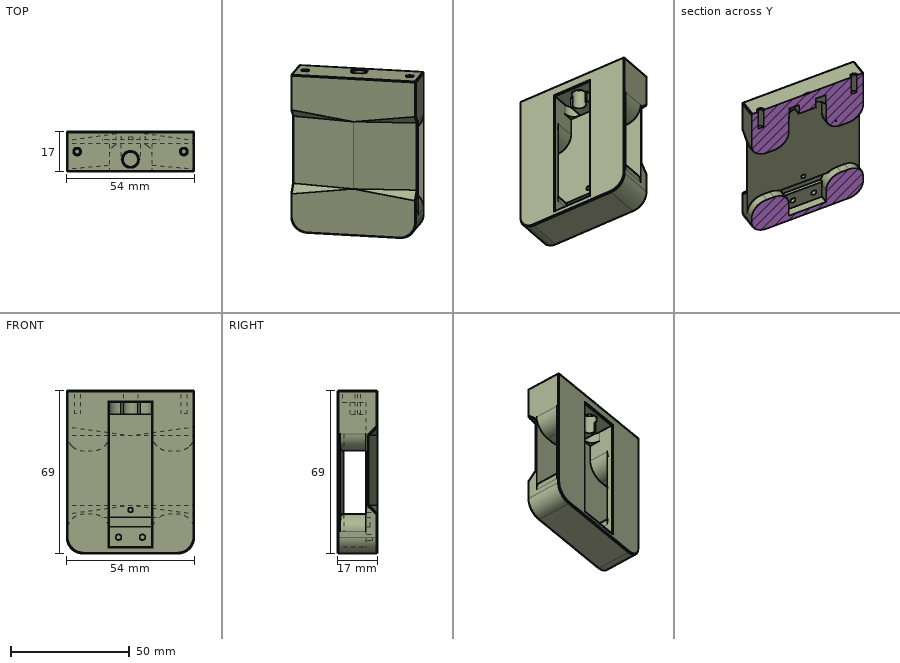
import cadquery as cq

WIDTH = 54.0
THICKNESS = 17.0
HEIGHT = 69.0
CORNER_RADIUS = 7.05
EDGE_CHAMFER = 0.5

SLOT_WIDTH = 17.9
SLOT_BOTTOM = 3.0
SLOT_TOP = 63.95
CAVITY_DEPTH = 12.1

BOSS_WIDTH = 8.3
BOSS_BOTTOM = 59.0

WINDOW_BOTTOM = 9.6
WINDOW_TOP = 50.7
FLARE_RADIUS = 7.25
WINDOW_FRONT_OUTER = 1.2
WINDOW_FRONT_INNER = 2.75

GROOVE_BOTTOM = 11.45
GROOVE_TOP = 15.45
GROOVE_DEPTH = 1.5

GRIP_DEPTH = 3.7
GRIP_BOTTOM = 20.55
GRIP_TOP = 49.95

BORE_DIAMETER = 6.3
BORE_Y = 5.2
TOP_HOLE_DIAMETER = 2.4
TOP_HOLE_DEPTH = 9.65
TOP_HOLE_INSET = 4.5
FLOOR_HOLE_DIAMETER = 2.0
FLOOR_HOLE_Z = 18.5
FOOT_HOLE_DIAMETER = 2.4
FOOT_HOLE_Z = 7.0
FOOT_HOLE_X = 5.05
FLOOR_HOLE_DEPTH = 2.75

HALF_WIDTH = WIDTH / 2
HALF_SLOT = SLOT_WIDTH / 2
HALF_BOSS = BOSS_WIDTH / 2
WALL_MIDDLE = (HALF_WIDTH + HALF_SLOT) / 2


def box_between(x_range, y_range, z_range):
    """Box spanning the given (low, high) ranges."""
    lows, highs = zip(x_range, y_range, z_range)
    sizes = [high - low for low, high in zip(lows, highs)]
    return cq.Workplane("XY").box(*sizes, centered=False).translate(lows)


def grip_cutter(side):
    """Back wedge, deepest at the side face and fading out at the centre line."""
    outer_x = side * HALF_WIDTH
    floor_y = THICKNESS - GRIP_DEPTH
    floor_low = cq.Vector(outer_x, floor_y, GRIP_BOTTOM)
    floor_high = cq.Vector(outer_x, floor_y, GRIP_TOP)
    rim_low = cq.Vector(outer_x, THICKNESS, GRIP_BOTTOM - GRIP_DEPTH)
    rim_high = cq.Vector(outer_x, THICKNESS, GRIP_TOP + GRIP_DEPTH)
    ridge_low = cq.Vector(0, THICKNESS, GRIP_BOTTOM)
    ridge_high = cq.Vector(0, THICKNESS, GRIP_TOP)
    outlines = [
        [floor_low, floor_high, rim_high, rim_low],
        [floor_low, floor_high, ridge_high, ridge_low],
        [rim_low, rim_high, ridge_high, ridge_low],
        [floor_low, rim_low, ridge_low],
        [floor_high, rim_high, ridge_high],
    ]
    faces = [cq.Face.makeFromWires(cq.Wire.makePolygon(points, close=True)) for points in outlines]
    solid = cq.Solid.makeSolid(cq.Shell.makeShell(faces))
    return cq.Workplane(obj=solid.fix())


def make_body():
    """Round-bottomed block with grips, bevelled along its outer rims and the grip rims."""
    body = box_between((-HALF_WIDTH, HALF_WIDTH), (0, THICKNESS), (0, HEIGHT))
    body = body.edges("|Y and <Z").fillet(CORNER_RADIUS)
    for side in (-1, 1):
        body = body.cut(grip_cutter(side))
    outer_faces = body.faces("<X or >X or <Y or <Z or >Z or %CYLINDER")
    return outer_faces.edges("(not |Y) or >Z").chamfer(EDGE_CHAMFER)


def side_window(side, depth):
    """Side window from the front face to the given depth, flared over both wall faces."""
    outer = side * HALF_WIDTH
    inner = side * HALF_SLOT
    outer_tangent = outer - side * FLARE_RADIUS
    inner_tangent = inner + side * FLARE_RADIUS
    low = WINDOW_BOTTOM + FLARE_RADIUS
    high = WINDOW_TOP - FLARE_RADIUS
    return (
        cq.Workplane("XZ")
        .moveTo(outer, WINDOW_TOP)
        .radiusArc((outer_tangent, high), side * FLARE_RADIUS)
        .lineTo(inner_tangent, high)
        .radiusArc((inner, WINDOW_TOP), side * FLARE_RADIUS)
        .lineTo(inner, WINDOW_BOTTOM)
        .radiusArc((inner_tangent, low), side * FLARE_RADIUS)
        .lineTo(outer_tangent, low)
        .radiusArc((outer, WINDOW_BOTTOM), side * FLARE_RADIUS)
        .close()
        .extrude(-depth)
    )


def front_wall(side):
    """Material in front of a side window, thickening from the side face to the slot."""
    outer = side * HALF_WIDTH
    inner = side * HALF_SLOT
    outline = [(outer, 0), (outer, WINDOW_FRONT_OUTER), (inner, WINDOW_FRONT_INNER), (inner, 0)]
    return cq.Workplane("XY").polyline(outline).close().extrude(HEIGHT)


def make_cavity():
    """Slot, top pocket beside the bore boss, side windows and cross groove as one cutting solid."""
    slot_x = (-HALF_SLOT, HALF_SLOT)
    cavity = box_between(slot_x, (0, CAVITY_DEPTH), (SLOT_BOTTOM, BOSS_BOTTOM))
    top_pocket = box_between(slot_x, (0, CAVITY_DEPTH), (BOSS_BOTTOM, SLOT_TOP))
    top_pocket = top_pocket.edges("|Z and >Y").fillet(HALF_SLOT - HALF_BOSS)
    boss = box_between((-HALF_BOSS, HALF_BOSS), (BORE_Y, CAVITY_DEPTH), (BOSS_BOTTOM, SLOT_TOP))
    cavity = cavity.union(top_pocket.cut(boss))

    groove_floor = CAVITY_DEPTH + GROOVE_DEPTH
    groove_z = (GROOVE_BOTTOM, GROOVE_TOP)
    cavity = cavity.union(box_between(slot_x, (0, groove_floor), groove_z))
    groove_band = box_between((-WALL_MIDDLE, WALL_MIDDLE), (CAVITY_DEPTH, groove_floor), groove_z)
    for side in (-1, 1):
        cavity = cavity.union(side_window(side, CAVITY_DEPTH).cut(front_wall(side)))
        cavity = cavity.union(side_window(side, groove_floor).intersect(groove_band))
    return cavity


def slot_rim_bevel():
    """Bevel cutter for the front edge of the slot."""
    middle_z = (SLOT_BOTTOM + SLOT_TOP) / 2
    slot_height = SLOT_TOP - SLOT_BOTTOM
    return (
        cq.Workplane("XZ", origin=(0, 0, middle_z))
        .rect(SLOT_WIDTH + 2 * EDGE_CHAMFER, slot_height + 2 * EDGE_CHAMFER)
        .workplane(offset=-EDGE_CHAMFER)
        .rect(SLOT_WIDTH, slot_height)
        .loft()
    )


def top_hole(x, y, diameter, depth):
    """Countersunk hole drilled down from the top face."""
    hole = cq.Workplane("XY", origin=(x, y, HEIGHT)).circle(diameter / 2).extrude(-depth)
    countersink = cq.Solid.makeCone(
        diameter / 2 + EDGE_CHAMFER,
        diameter / 2,
        EDGE_CHAMFER,
        cq.Vector(x, y, HEIGHT),
        cq.Vector(0, 0, -1),
    )
    return hole.union(cq.Workplane(obj=countersink))


def floor_hole(x, z, diameter):
    """Blind hole drilled into the cavity floor from the front."""
    floor = cq.Workplane("XZ", origin=(x, CAVITY_DEPTH, z))
    return floor.circle(diameter / 2).extrude(-FLOOR_HOLE_DEPTH)


result = make_body().cut(make_cavity()).cut(slot_rim_bevel())
result = result.cut(top_hole(0, BORE_Y, BORE_DIAMETER, HEIGHT - BOSS_BOTTOM))
for side in (-1, 1):
    hole_x = side * (HALF_WIDTH - TOP_HOLE_INSET)
    result = result.cut(top_hole(hole_x, THICKNESS / 2, TOP_HOLE_DIAMETER, TOP_HOLE_DEPTH))
    result = result.cut(floor_hole(side * FOOT_HOLE_X, FOOT_HOLE_Z, FOOT_HOLE_DIAMETER))
result = result.cut(floor_hole(0, FLOOR_HOLE_Z, FLOOR_HOLE_DIAMETER))